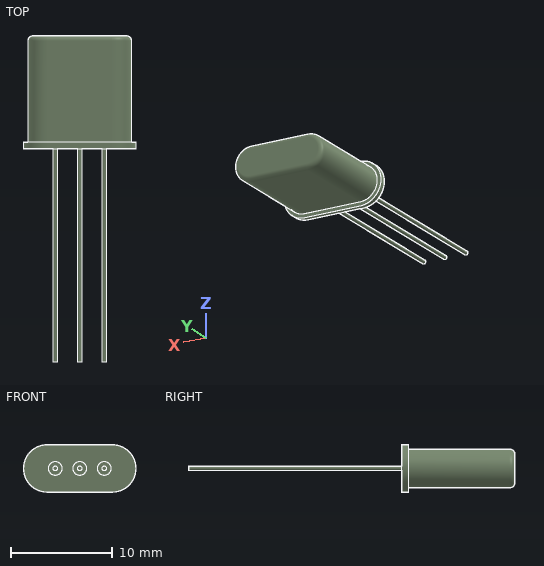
import cadquery as cq

total_length = 32.2
package_length = 11.17
lead_length = total_length - package_length

flange_width = 11.1
flange_height = 4.7
flange_thickness = 0.68
can_height = 3.83
can_width = flange_width - (flange_height - can_height)
can_end_fillet = 0.5

lead_count = 3
lead_pitch = 2.4
lead_diameter = 0.45
bead_diameter = 1.35
bead_depth = flange_thickness

lead_positions = [(i - (lead_count - 1) / 2) * lead_pitch for i in range(lead_count)]


def cylinder_along_y(diameter, x, y_start, y_end):
    """Round bar parallel to Y, centred at the given X."""
    return cq.Workplane(
        cq.Solid.makeCylinder(
            diameter / 2, y_end - y_start, cq.Vector(x, y_start, 0), cq.Vector(0, 1, 0)
        )
    )


def slot_along_y(width, height, length):
    """Round-ended bar from the Y = 0 face toward +Y."""
    return cq.Workplane("XZ").slot2D(width, height).extrude(-length)


def make_housing():
    """Flanged can with a blind seat for each bead."""
    can = slot_along_y(can_width, can_height, package_length)
    can = can.faces(">Y").edges().fillet(can_end_fillet)
    housing = can.union(slot_along_y(flange_width, flange_height, flange_thickness))
    for x in lead_positions:
        housing = housing.cut(cylinder_along_y(bead_diameter, x, 0, bead_depth))
    return housing


def make_bead(x):
    """Glass ring with a through hole for its lead."""
    bead = cylinder_along_y(bead_diameter, x, 0, bead_depth)
    return bead.cut(cylinder_along_y(lead_diameter, x, 0, bead_depth))


def make_lead(x):
    """Straight wire from its free tip to the bottom of the bead seat."""
    return cylinder_along_y(lead_diameter, x, -lead_length, bead_depth)


housing = make_housing()
beads = [make_bead(x) for x in lead_positions]
leads = [make_lead(x) for x in lead_positions]

result = cq.Compound.makeCompound(
    [housing.val(), *[bead.val() for bead in beads], *[lead.val() for lead in leads]]
)